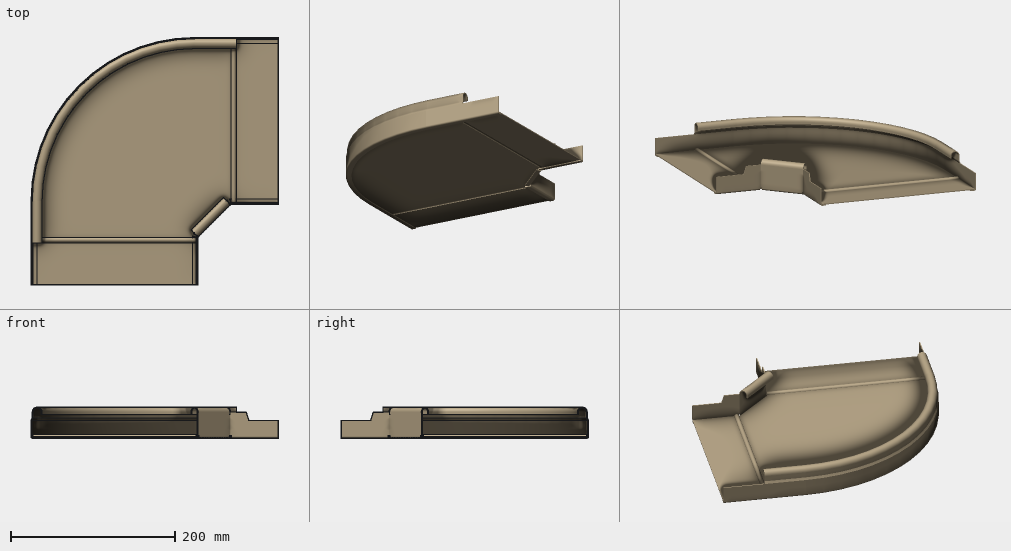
import cadquery as cq
import math


sheet = 1.2
bend_radius = 2.2
flange_reach = 7.0
corner_radius = 1.2

overall_length = 301.35
arm_length = 102.0
outer_radius = overall_length - arm_length
tray_width = 203.4
inner_offset = tray_width - outer_radius
inner_wall_length = 58.4
corner_distance = arm_length - inner_wall_length
arc_angle = 90
corner_angle = arc_angle / 2
corner_trim = corner_radius * math.tan(math.radians(corner_angle / 2))

overall_height = 38.0
low_wall_top = 22.0
joggle_top = 25.0
joggle_depth = 1.5
rim_radius = 6.0
rim_centre_z = overall_height - rim_radius
lip_end_z = 29.3

outer_rim_setback = 51.0
step_top_setback = 39.3
step_foot_setback = 36.0

rib_width = 6.2
rib_height = 2.4
rib_setback = 51.4
rib_radius = (rib_width**2 / 4 + rib_height**2) / (2 * rib_height)

relief_width = 2.7
relief_height = 3.5


def mirror_arm(arm):
    """Copy of a piece of the -Y arm on the +X arm, reflected in the plane y = -x."""
    return arm.mirror((1, 1, 0), (0, 0, 0))


def wall_section(plane, top):
    """Plain wall with its bottom flange; local x runs inward from the outer face, y runs up."""
    inner_bend = bend_radius - sheet
    diagonal = math.sqrt(0.5)
    return (
        cq.Workplane(plane)
        .moveTo(flange_reach, 0)
        .lineTo(bend_radius, 0)
        .threePointArc((bend_radius * (1 - diagonal), bend_radius * (1 - diagonal)), (0, bend_radius))
        .lineTo(0, top)
        .lineTo(sheet, top)
        .lineTo(sheet, bend_radius)
        .threePointArc(
            (bend_radius - inner_bend * diagonal, bend_radius - inner_bend * diagonal), (bend_radius, sheet)
        )
        .lineTo(flange_reach, sheet)
        .close()
    )


def rim_section(plane, inset, foot):
    """Wall top rolled inward into a half-round rim with a short lip; inset is the wall's outer face."""
    rim_middle = inset + rim_radius
    rim_end = inset + 2 * rim_radius
    return (
        cq.Workplane(plane)
        .moveTo(inset, foot)
        .lineTo(inset, rim_centre_z)
        .threePointArc((rim_middle, overall_height), (rim_end, rim_centre_z))
        .lineTo(rim_end, lip_end_z)
        .lineTo(rim_end - sheet, lip_end_z)
        .lineTo(rim_end - sheet, rim_centre_z)
        .threePointArc((rim_middle, overall_height - sheet), (inset + sheet, rim_centre_z))
        .lineTo(inset + sheet, foot)
        .close()
    )


def joggle_section(plane):
    """Slanted strip that carries the outer wall inward."""
    corners = [
        (0, low_wall_top),
        (joggle_depth, joggle_top),
        (joggle_depth + sheet, joggle_top),
        (sheet, low_wall_top),
    ]
    return cq.Workplane(plane).polyline(corners).close()


def outer_sections(plane):
    """Stepped and rimmed upper part of the outer wall."""
    return [joggle_section(plane), rim_section(plane, joggle_depth, joggle_top)]


def outer_wall_arm():
    """Straight outer wall of the -Y arm."""
    end_plane = cq.Plane((-outer_radius, -arm_length, 0), xDir=(1, 0, 0), normal=(0, -1, 0))
    rim_plane = cq.Plane((-outer_radius, outer_rim_setback - arm_length, 0), xDir=(1, 0, 0), normal=(0, -1, 0))
    wall = wall_section(end_plane, low_wall_top).extrude(-arm_length)
    for section in outer_sections(rim_plane):
        wall = wall.union(section.extrude(outer_rim_setback - arm_length))
    return wall


def outer_wall_arc():
    """Quarter-round outer wall between the two arms."""
    plane = cq.Plane((-outer_radius, 0, 0), xDir=(1, 0, 0), normal=(0, -1, 0))
    axis_foot = (outer_radius, 0)
    axis_top = (outer_radius, -1)
    wall = wall_section(plane, low_wall_top).revolve(arc_angle, axis_foot, axis_top)
    for section in outer_sections(plane):
        wall = wall.union(section.revolve(arc_angle, axis_foot, axis_top))
    return wall


def inner_wall_arm():
    """Straight inner wall of the -Y arm, stepped down toward the open end."""
    plane = cq.Plane((inner_offset, -arm_length, 0), xDir=(-1, 0, 0), normal=(0, 1, 0))
    wall = wall_section(plane, rim_centre_z).extrude(inner_wall_length - corner_trim)
    notch = (
        cq.Workplane("YZ", origin=(inner_offset - bend_radius, -arm_length, 0))
        .moveTo(0, low_wall_top)
        .lineTo(step_foot_setback, low_wall_top)
        .lineTo(step_top_setback, rim_centre_z)
        .lineTo(0, rim_centre_z)
        .close()
        .extrude(bend_radius)
    )
    return wall.cut(notch)


def inner_corner():
    """Upright bend from the straight inner wall of the -Y arm to the slanted wall."""
    plane = cq.Plane(
        (inner_offset, -corner_distance - corner_trim, 0), xDir=(-1, 0, 0), normal=(0, 1, 0)
    )
    return wall_section(plane, rim_centre_z).revolve(corner_angle, (-corner_radius, 0), (-corner_radius, -1))


def slanted_wall():
    """Slanted inner wall across the corner, with its rolled rim."""
    length = math.sqrt(2) * (corner_distance - inner_offset)

    def section_plane(distance):
        """Upright plane across the wall, at a distance along it from the -Y arm's corner."""
        shift = distance * math.sqrt(0.5)
        origin = (inner_offset + shift, -corner_distance + shift, 0)
        return cq.Plane(origin, xDir=(-1, 1, 0), normal=(1, 1, 0))

    wall = wall_section(section_plane(corner_trim), rim_centre_z).extrude(length - 2 * corner_trim)
    rim = rim_section(section_plane(0), 0, lip_end_z).extrude(length)
    return wall.union(rim)


def floor_plate():
    """Flat plate that lies on the bottom flanges, clear of the wall bends."""
    arc_radius = outer_radius - bend_radius
    arm_edge = inner_offset - bend_radius
    arc_middle = arc_radius * math.sqrt(0.5)
    bend_start = corner_distance + corner_trim
    bend_centre = inner_offset + corner_radius
    floor_corner = corner_radius + bend_radius

    def corner_point(angle):
        """Point on the floor's rounding at the -Y arm's corner, turned by an angle from the arm."""
        turn = math.radians(angle)
        return (bend_centre - floor_corner * math.cos(turn), -bend_start + floor_corner * math.sin(turn))

    def mirrored(point):
        """The matching point on the +X arm."""
        return (-point[1], -point[0])

    return (
        cq.Workplane("XY", origin=(0, 0, sheet))
        .moveTo(-arc_radius, -arm_length)
        .lineTo(-arc_radius, 0)
        .threePointArc((-arc_middle, arc_middle), (0, arc_radius))
        .lineTo(arm_length, arc_radius)
        .lineTo(arm_length, -arm_edge)
        .lineTo(*mirrored(corner_point(0)))
        .threePointArc(mirrored(corner_point(corner_angle / 2)), mirrored(corner_point(corner_angle)))
        .lineTo(*corner_point(corner_angle))
        .threePointArc(corner_point(corner_angle / 2), corner_point(0))
        .lineTo(arm_edge, -arm_length)
        .close()
        .extrude(sheet)
    )


def corner_relief():
    """Notch through the foot of the inner wall at the -Y arm's corner."""
    return (
        cq.Workplane("XY")
        .box(2 * flange_reach, relief_width, relief_height, centered=(True, True, False))
        .rotate((0, 0, 0), (0, 0, 1), -corner_angle / 2)
        .translate((inner_offset, -corner_distance, 0))
    )


def outer_wall():
    """Curved wall and its two straight ends, with the rolled rim along the top."""
    arm = outer_wall_arm()
    return outer_wall_arc().union(arm).union(mirror_arm(arm))


def inner_wall():
    """Slanted wall and its two straight ends."""
    wall = slanted_wall()
    for piece in (inner_wall_arm(), inner_corner()):
        wall = wall.union(piece).union(mirror_arm(piece))
    relief = corner_relief()
    return wall.cut(relief).cut(mirror_arm(relief))


def rib_cylinder(radius):
    """Lying cylinder that a rib of the -Y arm follows, as long as the plate is wide."""
    plate_width = tray_width - 2 * bend_radius
    rib_middle_y = rib_setback + rib_width / 2 - arm_length
    axis_z = 2 * sheet + rib_height - rib_radius
    return (
        cq.Workplane("YZ", origin=(bend_radius - outer_radius, rib_middle_y, axis_z))
        .circle(radius)
        .extrude(plate_width)
    )


def floor():
    """Floor plate with a hollow rib pressed up across each arm."""
    crown = rib_cylinder(rib_radius)
    below_plate = (
        cq.Workplane("XY", origin=(0, 0, sheet))
        .rect(2 * overall_length, 2 * overall_length)
        .extrude(-overall_height)
    )
    crown = crown.cut(below_plate)
    hollow = rib_cylinder(rib_radius - sheet)
    plate = floor_plate().union(crown).union(mirror_arm(crown))
    return plate.cut(hollow).cut(mirror_arm(hollow))


floor_body = floor()
outer_wall_body = outer_wall()
inner_wall_body = inner_wall()
result = cq.Compound.makeCompound([
    floor_body.solids().val(),
    outer_wall_body.solids().val(),
    inner_wall_body.solids().val(),
])